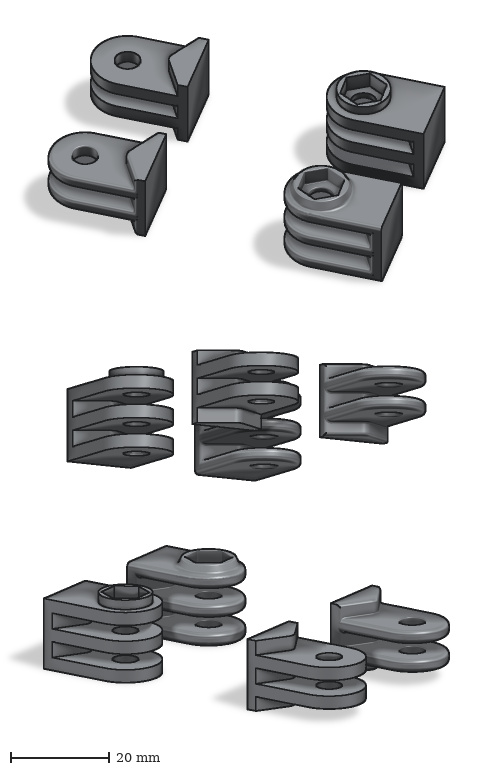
import cadquery as cq
import math

OVERALL_LENGTH = 72.5
OVERALL_WIDTH = 45.0
MOUNT_LENGTH = 22.5
MOUNT_WIDTH = 15.0
MOUNT_HEIGHT = 14.9
COLUMN_PITCH = OVERALL_LENGTH - MOUNT_LENGTH
ROW_PITCH = OVERALL_WIDTH - MOUNT_WIDTH

HALF_WIDTH = MOUNT_WIDTH / 2
END_X = MOUNT_LENGTH - HALF_WIDTH
FINGER_THICKNESS = 2.75
SLOT_HEIGHT = (MOUNT_HEIGHT - 3 * FINGER_THICKNESS) / 2
LEVEL_PITCH = FINGER_THICKNESS + SLOT_HEIGHT
PIVOT_DIAMETER = 5.3

THREE_FINGER_BOTTOMS = [i * LEVEL_PITCH for i in range(3)]
TWO_FINGER_BOTTOMS = [(i + 0.5) * LEVEL_PITCH for i in range(2)]

WALL_EDGE_THICKNESS = 2.1
WALL_SLOPE = 30.0
WALL_TIP_RADIUS = 2.0

BOSS_DIAMETER = 11.0
BOSS_HEIGHT = 2.0
BOSS_TOP = MOUNT_HEIGHT + BOSS_HEIGHT
BOSS_FOOT_DIAMETER = 13.0
NUT_ACROSS_FLATS = 8.5
NUT_ACROSS_CORNERS = NUT_ACROSS_FLATS / math.cos(math.pi / 6)
NUT_POCKET_DEPTH = 3.5
NUT_POCKET_FLOOR = BOSS_TOP - NUT_POCKET_DEPTH
NUT_TURN = 31.5

FINGER_FILLET = 1.0
WALL_FILLET = 0.7
ROOT_FILLET = 0.5
BOSS_FOOT_FILLET = 1.0
BOSS_RIM_FILLET = 0.5
NUT_FILLET = 0.255
NUT_CORNER_FILLET = 0.4
PIVOT_FILLET = 0.35

TOLERANCE = 0.01


def close(a, b):
    return abs(a - b) < TOLERANCE


def is_upright(edge):
    return edge.BoundingBox().zlen > TOLERANCE


def face_levels(bottoms):
    """Heights of the lower and upper faces of the fingers."""
    return [level for bottom in bottoms for level in (bottom, bottom + FINGER_THICKNESS)]


def fillet_where(body, radius, chosen):
    """Fillet every edge of the body for which chosen(edge, centre) is true."""
    edges = [e for e in body.edges().vals() if chosen(e, e.Center())]
    return body.newObject(edges).fillet(radius)


def finger(bottom):
    """Flat plate with one round end, from the pivot to the end of the mount."""
    return (
        cq.Workplane("XY", origin=(0, 0, bottom))
        .moveTo(END_X, -HALF_WIDTH)
        .lineTo(END_X, HALF_WIDTH)
        .lineTo(0, HALF_WIDTH)
        .threePointArc((-HALF_WIDTH, 0), (0, -HALF_WIDTH))
        .close()
        .extrude(FINGER_THICKNESS)
    )


def end_wall(bottom, top):
    """Wall between two heights, whose inner face is a V with a rounded tip."""
    edge_x = END_X - WALL_EDGE_THICKNESS
    tip_x = edge_x - HALF_WIDTH * math.tan(math.radians(WALL_SLOPE))
    wall = (
        cq.Workplane("XY", origin=(0, 0, bottom))
        .polyline([
            (END_X, -HALF_WIDTH),
            (END_X, HALF_WIDTH),
            (edge_x, HALF_WIDTH),
            (tip_x, 0),
            (edge_x, -HALF_WIDTH),
        ])
        .close()
        .extrude(top - bottom)
    )
    return wall.edges("|Z and <X").fillet(WALL_TIP_RADIUS)


def two_finger_wall():
    return end_wall(0, MOUNT_HEIGHT)


def three_finger_wall():
    """Wall that stops inside the outer fingers, which cover its two ends."""
    return end_wall(FINGER_THICKNESS / 2, MOUNT_HEIGHT - FINGER_THICKNESS / 2)


def join(first, others):
    """Union of parts that belong to the same mount."""
    body = first
    for other in others:
        body = body.union(other)
    return body


def pivot_hole():
    return cq.Workplane("XY").circle(PIVOT_DIAMETER / 2).extrude(BOSS_TOP)


def nut_pocket():
    return (
        cq.Workplane("XY", origin=(0, 0, NUT_POCKET_FLOOR))
        .polygon(6, NUT_ACROSS_CORNERS)
        .extrude(NUT_POCKET_DEPTH)
        .rotate((0, 0, 0), (0, 0, 1), NUT_TURN)
    )


def straight_boss():
    return cq.Workplane("XY", origin=(0, 0, MOUNT_HEIGHT)).circle(BOSS_DIAMETER / 2).extrude(BOSS_HEIGHT)


def tapered_boss():
    return (
        cq.Workplane("XZ")
        .polyline([
            (0, MOUNT_HEIGHT),
            (BOSS_FOOT_DIAMETER / 2, MOUNT_HEIGHT),
            (BOSS_DIAMETER / 2, BOSS_TOP),
            (0, BOSS_TOP),
        ])
        .close()
        .revolve(360, (0, 0), (0, 1))
    )


def is_circle(edge, centre, diameter, heights):
    """True for a circular edge of this diameter at one of the heights."""
    return (
        edge.geomType() == "CIRCLE"
        and close(edge.radius(), diameter / 2)
        and any(close(centre.z, height) for height in heights)
    )


def round_finger_sides(body):
    """Fillet the long sides and the round end of a finger, above and below."""
    def is_outline(edge, centre):
        on_side = close(abs(centre.y), HALF_WIDTH)
        on_round_end = close(edge.BoundingBox().xmin, -HALF_WIDTH)
        return not is_upright(edge) and (on_side or on_round_end)

    return fillet_where(body, FINGER_FILLET, is_outline)


def round_wall_sides(wall):
    """Fillet the two upright edges where the V face meets the sides."""
    def is_v_side(edge, centre):
        return is_upright(edge) and close(abs(centre.y), HALF_WIDTH) and centre.x < END_X - TOLERANCE

    return fillet_where(wall, WALL_FILLET, is_v_side)


def round_wall_sides_and_rims(wall):
    """Fillet the whole outline of the V face."""
    def is_v_outline(edge, centre):
        on_side = close(abs(centre.y), HALF_WIDTH)
        return centre.x < END_X - TOLERANCE and is_upright(edge) == on_side

    return fillet_where(wall, WALL_FILLET, is_v_outline)


def round_roots(body, levels):
    """Fillet the concave corners where the fingers run into the V face."""
    def is_root(edge, centre):
        on_v_face = HALF_WIDTH < centre.x < END_X - TOLERANCE
        inside = abs(centre.y) < HALF_WIDTH - FINGER_FILLET - TOLERANCE
        return on_v_face and inside and any(close(centre.z, level) for level in levels)

    return fillet_where(body, ROOT_FILLET, is_root)


def round_pivot(body, levels):
    """Fillet the rims of the pivot hole at the given heights."""
    return fillet_where(body, PIVOT_FILLET, lambda e, c: is_circle(e, c, PIVOT_DIAMETER, levels))


def bossed_finger(bottom):
    """Rounded finger whose tapered boss blends into its top face."""
    body = finger(bottom).union(tapered_boss())
    body = fillet_where(
        body, BOSS_FOOT_FILLET, lambda e, c: is_circle(e, c, BOSS_FOOT_DIAMETER, [MOUNT_HEIGHT])
    )
    body = round_finger_sides(body)
    return fillet_where(body, BOSS_RIM_FILLET, lambda e, c: is_circle(e, c, BOSS_DIAMETER, [BOSS_TOP]))


def rounded_nut_pocket(body):
    """Cut the nut pocket with rounded corners, floor edge and rim."""
    pocket = nut_pocket().edges("|Z").fillet(NUT_CORNER_FILLET)
    body = body.cut(pocket.faces("<Z").edges().fillet(NUT_FILLET))

    def is_rim(edge, centre):
        reach = math.hypot(centre.x, centre.y)
        return close(centre.z, BOSS_TOP) and NUT_ACROSS_FLATS / 2 - TOLERANCE < reach < NUT_ACROSS_CORNERS / 2

    return fillet_where(body, NUT_FILLET, is_rim)


def plain_two_finger_mount():
    body = join(two_finger_wall(), [finger(z) for z in TWO_FINGER_BOTTOMS])
    return body.cut(pivot_hole())


def plain_three_finger_mount():
    body = join(three_finger_wall(), [finger(z) for z in THREE_FINGER_BOTTOMS])
    return body.union(straight_boss()).cut(pivot_hole()).cut(nut_pocket())


def rounded_two_finger_mount():
    fingers = [round_finger_sides(finger(z)) for z in TWO_FINGER_BOTTOMS]
    body = join(round_wall_sides_and_rims(two_finger_wall()), fingers)
    levels = face_levels(TWO_FINGER_BOTTOMS)
    body = round_roots(body, levels)
    return round_pivot(body.cut(pivot_hole()), levels)


def rounded_three_finger_mount():
    fingers = [round_finger_sides(finger(z)) for z in THREE_FINGER_BOTTOMS[:-1]]
    fingers.append(bossed_finger(THREE_FINGER_BOTTOMS[-1]))
    body = join(round_wall_sides(three_finger_wall()), fingers)
    levels = face_levels(THREE_FINGER_BOTTOMS)
    body = round_roots(body, levels)
    body = rounded_nut_pocket(body.cut(pivot_hole()))
    return round_pivot(body, levels + [NUT_POCKET_FLOOR])


def place(body, column, row):
    return body.translate((column * COLUMN_PITCH, row * ROW_PITCH, 0)).solids().val()


result = cq.Compound.makeCompound([
    place(plain_two_finger_mount(), 0, 1),
    place(plain_three_finger_mount(), 1, 1),
    place(rounded_two_finger_mount(), 0, 0),
    place(rounded_three_finger_mount(), 1, 0),
])